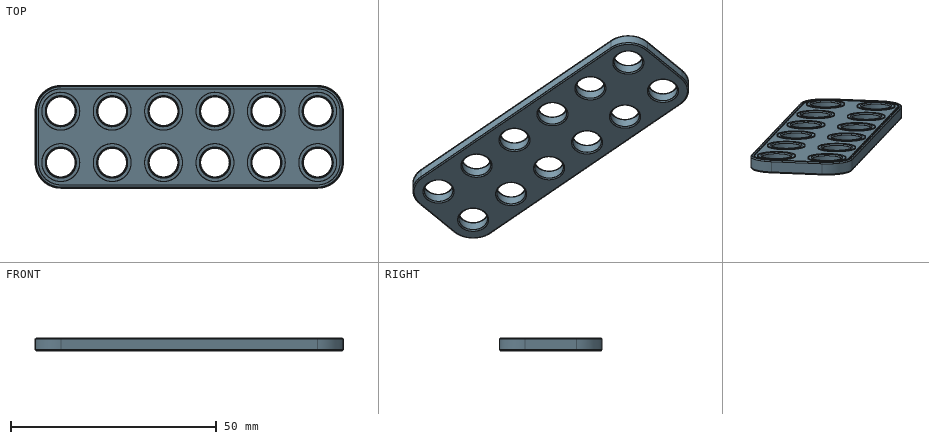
import cadquery as cq

columns = 6
rows = 2
length = 75.0
pitch = length / columns
width = rows * pitch
thickness = pitch / 4
corner_radius = pitch / 2
hole_diameter = 7.0

edge_chamfer = 0.3

rim_width = 0.8
ring_diameter = 9.2
recess_depth = 0.19


def rounded_plate(plate_length, plate_width, radius, height):
    """Plate with rounded vertical corners, standing on Z = 0."""
    block = cq.Workplane("XY").box(plate_length, plate_width, height, centered=(True, True, False))
    return block.edges("|Z").fillet(radius)


def cylinders_at_holes(diameter, height):
    """One cylinder per hole position, standing on Z = 0."""
    centers = cq.Workplane("XY").rarray(pitch, pitch, columns, rows)
    return centers.circle(diameter / 2).extrude(height)


def chamfered_plate():
    """Perforated plate with every edge of its two flat faces chamfered."""
    plate = rounded_plate(length, width, corner_radius, thickness)
    plate = plate.cut(cylinders_at_holes(hole_diameter, thickness))
    return plate.faces("<Z or >Z").chamfer(edge_chamfer)


def top_recess():
    """Material removed from the top face between the rim and the rings."""
    recess = rounded_plate(
        length - 2 * rim_width,
        width - 2 * rim_width,
        corner_radius - rim_width,
        recess_depth,
    )
    recess = recess.cut(cylinders_at_holes(ring_diameter, recess_depth))
    return recess.translate((0, 0, thickness - recess_depth))


result = chamfered_plate().cut(top_recess())